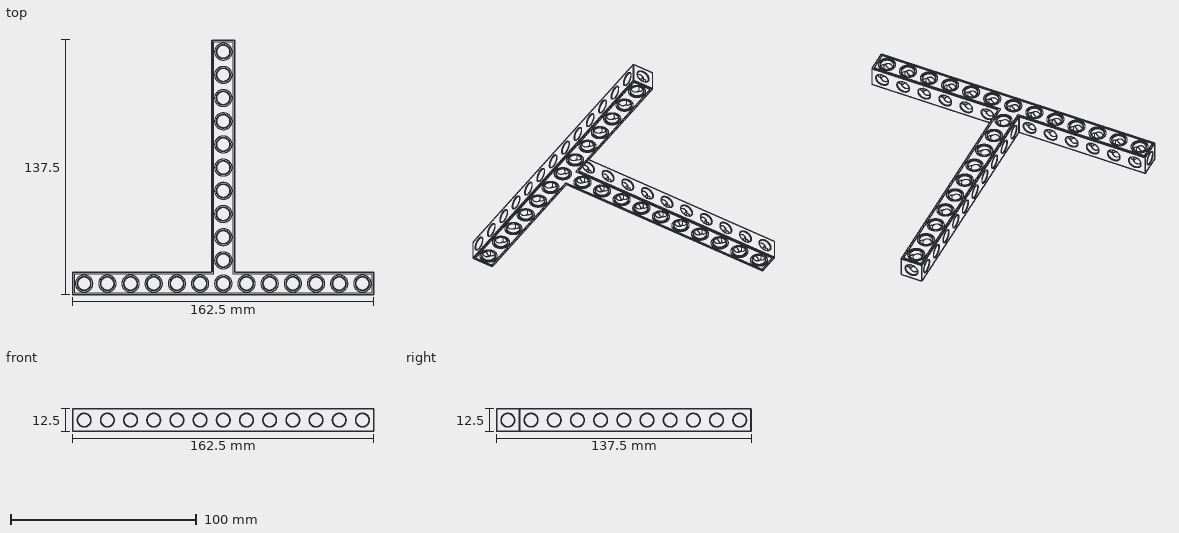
import cadquery as cq

length = 162.5
bar_cells = 13
stem_cells = 10
hole_diameter = 7.0
collar_diameter = 9.3
rim_width = 1.1
recess_depth = 0.2
chamfer = 0.31

pitch = length / bar_cells
half = pitch / 2
half_length = length / 2
stem_end = half + stem_cells * pitch
hole_radius = hole_diameter / 2

bar_xs = [(i - (bar_cells - 1) / 2) * pitch for i in range(bar_cells)]
stem_ys = [i * pitch for i in range(1, stem_cells + 1)]
cell_centres = [(x, 0) for x in bar_xs] + [(0, y) for y in stem_ys]


def tee(inset, height, bottom):
    """T-shaped prism whose outline is shrunk inward by inset."""
    outline_half = half - inset
    end_x = half_length - inset
    return (
        cq.Workplane("XY", origin=(0, 0, bottom))
        .moveTo(-end_x, -outline_half)
        .lineTo(end_x, -outline_half)
        .lineTo(end_x, outline_half)
        .lineTo(outline_half, outline_half)
        .lineTo(outline_half, stem_end - inset)
        .lineTo(-outline_half, stem_end - inset)
        .lineTo(-outline_half, outline_half)
        .lineTo(-end_x, outline_half)
        .close()
        .extrude(height)
    )


def recess(bottom):
    """Pocket inside the rim that leaves a round collar around every vertical hole."""
    collars = (
        cq.Workplane("XY", origin=(0, 0, bottom))
        .pushPoints(cell_centres)
        .circle(collar_diameter / 2)
        .extrude(recess_depth)
    )
    return tee(rim_width, recess_depth, bottom).cut(collars)


def hole_cutter(start, direction, depth):
    """Cutter for a through hole with a chamfered mouth at each end."""
    mouth_radius = hole_radius + chamfer
    plane = cq.Plane(origin=start, normal=direction)
    shaft = cq.Workplane(plane).circle(hole_radius).extrude(depth).val()
    near_mouth = cq.Solid.makeCone(mouth_radius, hole_radius, chamfer, plane.origin, plane.zDir)
    far_end = plane.origin + plane.zDir * depth
    far_mouth = cq.Solid.makeCone(mouth_radius, hole_radius, chamfer, far_end, plane.zDir * -1)
    return shaft.fuse(near_mouth, far_mouth)


body = tee(0, pitch, -half).edges().chamfer(chamfer)
body = body.cut(recess(half - recess_depth)).cut(recess(-half))

vertical_holes = [hole_cutter((x, y, -half), (0, 0, 1), pitch) for x, y in cell_centres]

holes_along_y = [
    hole_cutter((x, -half, 0), (0, 1, 0), half + (stem_end if x == 0 else half)) for x in bar_xs
]

holes_along_x = [hole_cutter((-half_length, 0, 0), (1, 0, 0), length)]
holes_along_x += [hole_cutter((-half, y, 0), (1, 0, 0), pitch) for y in stem_ys]

solid = body.val()
for cutters in (vertical_holes, holes_along_y, holes_along_x):
    solid = solid.cut(*cutters)

result = cq.Workplane(solid.Solids()[0])